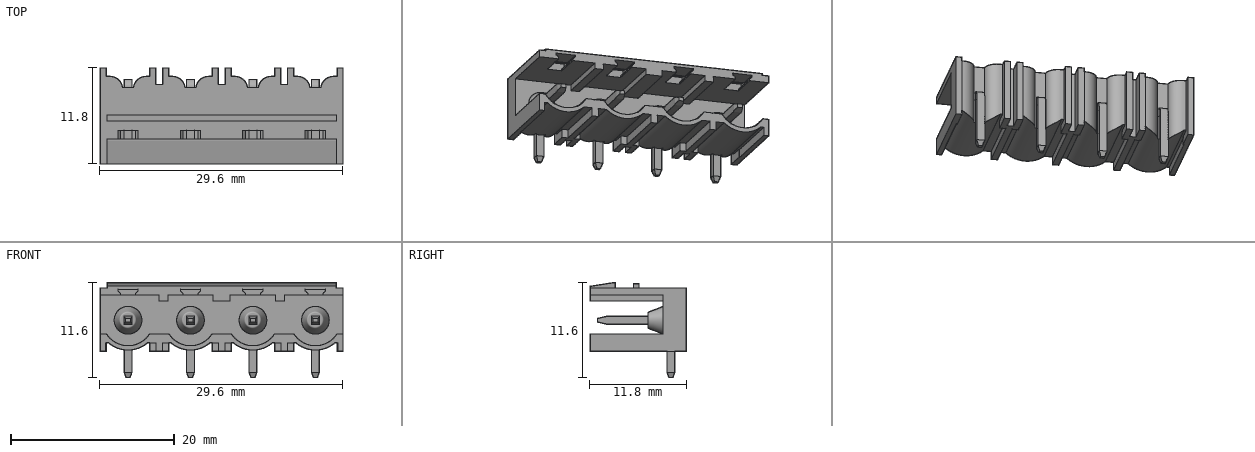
import cadquery as cq
import math


length = 29.65
pin_count = 4
pitch = 7.62
pin_centers = [(i - (pin_count - 1) / 2) * pitch for i in range(pin_count)]
gap_centers = [x + pitch / 2 for x in pin_centers[:-1]]

depth = 11.75
height = 7.75
pin_axis_z = 3.8
cavity_depth = 8.87
floor_z = 2.15
ceiling_z = 6.85
underside_z = 1.05
trough_radius = 3.1
trough_outer_radius = 3.65
bay_half_width = 2.65
end_leg_width = 0.65
divider_width = 0.8

rear_wall_y = 10.75
leg_wall_y = 9.37
leg_flat_half_width = 0.65
recess_radius = 1.6
slot_bottom_y = 9.73

key_rib_height = 0.7
side_rib_width = 1.1
side_rib_offset = 7.12
center_rib_width = 2.08

rail_length = 28.0
rail_y = 5.28
rail_width = 0.7
rail_height = 0.53
latch_depth = 3.08
latch_flat = 0.27
latch_height = 0.65
latch_front_height = 0.2

groove_depth = 4.12
groove_top_z = 7.55
groove_top_width = 2.5
groove_bottom_width = 1.85
groove_slope_top_z = 7.4
groove_slope_bottom_z = 7.05

boss_height = 1.8
boss_base_radius = 1.7
boss_tip_radius = 0.98
boss_edge_round = 0.2

pin_width = 0.98
pin_front_y = 0.9
pin_front_width_taper = 0.75
pin_front_height_taper = 1.13
pin_front_end_width = 0.62
pin_front_end_height = 0.45
pin_bottom_z = -3.2
pin_bottom_taper = 0.65
pin_bottom_end_width = 0.5


def box(x0, x1, y0, y1, z0, z1):
    """Block between two opposite corners."""
    return cq.Workplane("XY").box(x1 - x0, y1 - y0, z1 - z0, centered=False).translate((x0, y0, z0))


def centered_box(x, width, y0, y1, z0, z1):
    """Block centred on x."""
    return box(x - width / 2, x + width / 2, y0, y1, z0, z1)


def cylinder_along_y(x, radius, y_end):
    """Cylinder around a pin axis, starting at the mating face."""
    axis_plane = cq.Workplane("XZ", origin=(x, 0, pin_axis_z))
    return axis_plane.circle(radius).extrude(-y_end)


def make_shell():
    """C-shaped body with a rounded trough below each pin."""
    half = length / 2
    shell = box(-half, half, 0, rear_wall_y, underside_z, height)
    lower_half = box(-half, half, 0, rear_wall_y, 0, pin_axis_z)
    for x in pin_centers:
        shell = shell.union(cylinder_along_y(x, trough_outer_radius, rear_wall_y).intersect(lower_half))
    shell = shell.cut(box(-half, half, 0, cavity_depth, floor_z, ceiling_z))
    for x in pin_centers:
        trough = cylinder_along_y(x, trough_radius, cavity_depth)
        shell = shell.cut(trough.intersect(lower_half))
    return shell


def add_legs(shell):
    """End walls, dividers under the floor and rear posts beside each recess."""
    half = length / 2
    post_inner_x = pin_centers[-1] + bay_half_width
    for side in (-1, 1):
        leg_x = side * (half - end_leg_width / 2)
        post_x = side * (half + post_inner_x) / 2
        shell = shell.union(centered_box(leg_x, end_leg_width, 0, depth, 0, floor_z))
        shell = shell.union(centered_box(post_x, half - post_inner_x, cavity_depth, depth, 0, height))
    post_pair_width = pitch - 2 * bay_half_width
    for x in gap_centers:
        shell = shell.union(centered_box(x, divider_width, 0, cavity_depth, 0, floor_z))
        shell = shell.union(centered_box(x, post_pair_width, cavity_depth, depth, 0, height))
        shell = shell.cut(centered_box(x, divider_width, slot_bottom_y, depth, 0, height))
    return shell


def rear_recess(x):
    """Full-height recess at the back, flared by a rounded corner on each side."""
    recess = centered_box(x, 2 * bay_half_width, leg_wall_y, depth, 0, height)
    arc_y = rear_wall_y - recess_radius
    arc_offset = leg_flat_half_width + math.sqrt(recess_radius**2 - (leg_wall_y - arc_y) ** 2)
    for side in (-1, 1):
        arc_x = x + side * arc_offset
        outer_x = x + side * bay_half_width
        corner = cq.Workplane("XY").center(arc_x, arc_y).circle(recess_radius).extrude(height)
        shoulder = box(min(arc_x, outer_x), max(arc_x, outer_x), leg_wall_y, rear_wall_y, 0, height)
        recess = recess.cut(corner).cut(shoulder)
    return recess


def dovetail_groove(x):
    """Groove in the ceiling, breaking through the top behind the latch."""
    top = groove_top_width / 2
    bottom = groove_bottom_width / 2
    right_side = [
        (bottom, ceiling_z),
        (bottom, groove_slope_bottom_z),
        (top, groove_slope_top_z),
        (top, groove_top_z),
    ]
    left_side = [(-px, pz) for px, pz in reversed(right_side)]
    groove = cq.Workplane("XZ", origin=(x, 0, 0)).polyline(right_side + left_side).close()
    window = centered_box(x, groove_top_width, latch_depth, groove_depth, groove_slope_top_z, height)
    return groove.extrude(-groove_depth).union(window)


def add_ceiling_ribs(shell):
    """Keying ribs hanging from the ceiling."""
    ribs = [
        (-side_rib_offset, side_rib_width),
        (0, center_rib_width),
        (side_rib_offset, side_rib_width),
    ]
    for x, width in ribs:
        shell = shell.union(centered_box(x, width, 0, cavity_depth, ceiling_z - key_rib_height, ceiling_z))
    return shell


def add_top_rails(shell):
    """Square rail and sloped latch rail along the top face."""
    rail = centered_box(0, rail_length, rail_y, rail_y + rail_width, height, height + rail_height)
    latch_profile = [
        (0, height),
        (latch_depth, height),
        (latch_depth, height + latch_height),
        (latch_depth - latch_flat, height + latch_height),
        (0, height + latch_front_height),
    ]
    latch_start = cq.Workplane("YZ", origin=(-rail_length / 2, 0, 0))
    latch = latch_start.polyline(latch_profile).close().extrude(rail_length)
    return shell.union(rail).union(latch)


def boss(x):
    """Tapered boss on the cavity wall with a rounded tip edge."""
    base = cq.Workplane("XZ", origin=(x, cavity_depth, pin_axis_z)).circle(boss_base_radius)
    cone = base.workplane(offset=boss_height).circle(boss_tip_radius).loft()
    return cone.faces("<Y").edges().fillet(boss_edge_round)


def pin_hole(x):
    """Square passage through the boss and the rear wall."""
    z0 = pin_axis_z - pin_width / 2
    return centered_box(x, pin_width, cavity_depth - boss_height, leg_wall_y, z0, z0 + pin_width)


def make_housing():
    housing = add_top_rails(add_ceiling_ribs(add_legs(make_shell())))
    for x in pin_centers:
        housing = housing.cut(rear_recess(x)).cut(dovetail_groove(x))
        housing = housing.union(boss(x)).cut(pin_hole(x))
    return housing


def tapered_arm(x):
    """Horizontal blade with a longer taper in height than in width."""
    half_width = pin_width / 2
    side_profile = [
        (pin_front_y, pin_front_end_height / 2),
        (pin_front_y + pin_front_height_taper, half_width),
        (leg_wall_y, half_width),
    ]
    plan_profile = [
        (pin_front_end_width / 2, pin_front_y),
        (half_width, pin_front_y + pin_front_width_taper),
        (half_width, leg_wall_y),
    ]
    side_outline = side_profile + [(y, -z) for y, z in reversed(side_profile)]
    plan_outline = plan_profile + [(-px, y) for px, y in reversed(plan_profile)]
    side_start = cq.Workplane("YZ", origin=(x - half_width, 0, pin_axis_z))
    plan_start = cq.Workplane("XY", origin=(x, 0, pin_axis_z - half_width))
    side_prism = side_start.polyline(side_outline).close().extrude(pin_width)
    plan_prism = plan_start.polyline(plan_outline).close().extrude(pin_width)
    return side_prism.intersect(plan_prism)


def bent_leg(x):
    """Quarter-round bend behind the housing and the straight leg below it."""
    bend_bottom_z = pin_axis_z - pin_width / 2
    bottom_shoulder_z = pin_bottom_z + pin_bottom_taper
    bend_start = cq.Workplane("YZ", origin=(x - pin_width / 2, leg_wall_y, bend_bottom_z))
    bend = bend_start.circle(pin_width).extrude(pin_width)
    leg = centered_box(x, pin_width, leg_wall_y, leg_wall_y + pin_width, bottom_shoulder_z, bend_bottom_z)
    bend_space = centered_box(
        x, pin_width, leg_wall_y, leg_wall_y + pin_width, bend_bottom_z, bend_bottom_z + pin_width
    )
    return leg.union(bend.intersect(bend_space))


def leg_tip(x):
    """Pyramid-shaped lower end of the leg."""
    end = cq.Workplane("XY", origin=(x, leg_wall_y + pin_width / 2, pin_bottom_z))
    end = end.rect(pin_bottom_end_width, pin_bottom_end_width)
    return end.workplane(offset=pin_bottom_taper).rect(pin_width, pin_width).loft()


def make_pin(x):
    """Square pin bent down behind the housing, tapered at both ends."""
    return tapered_arm(x).union(bent_leg(x)).union(leg_tip(x))


housing = make_housing()
pins = [make_pin(x) for x in pin_centers]

result = cq.Compound.makeCompound([housing.solids().val(), *[pin.solids().val() for pin in pins]])